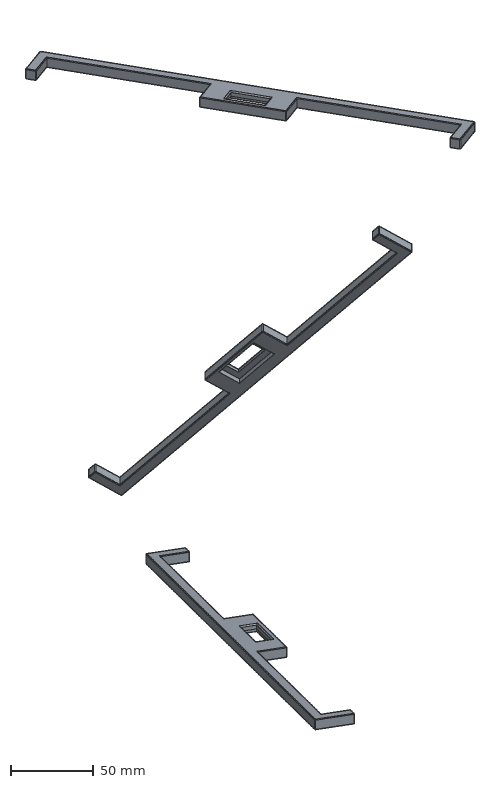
import cadquery as cq

length = 281.0
depth = 26.1
thickness = 7.0

bar_width = 7.0
plate_width = 56.2

window_width = 25.3
window_depth = 10.0
window_front_margin = 4.0
window_bevel = 0.8

lip_thickness = 3.5
recess_side_overhang = 4.2
recess_back_overhang = 4.2
recess_front_wall = 2.2

bevel = 0.5

front_y = -depth / 2
back_y = depth / 2


def front_block(center_x, width):
    """Full-depth block across the part, centred at the given X."""
    return cq.Workplane("XY").center(center_x, 0).box(width, depth, thickness)


def make_body():
    """E-shaped body: rail, two end arms and the middle plate."""
    body = (
        cq.Workplane("XY")
        .center(0, back_y - bar_width / 2)
        .box(length, bar_width, thickness)
    )
    arm_x = (length - bar_width) / 2
    for center_x, width in ((-arm_x, bar_width), (0, plate_width), (arm_x, bar_width)):
        body = body.union(front_block(center_x, width))
    return body.clean()


def bevel_edges(body):
    """Bevel the rims of the top and bottom faces and all convex upright corners."""
    front_corners = body.faces("<Y").edges("|Z")
    back_corners = body.faces(">Y").edges("|Z")
    rims = body.faces("|Z").edges()
    return rims.add(front_corners).add(back_corners).chamfer(bevel)


def cut_window(body):
    """Cut the window through the plate and slope its upper rim outwards."""
    window_y = front_y + window_front_margin + window_depth / 2
    window = (
        cq.Workplane("XY")
        .center(0, window_y)
        .box(window_width, window_depth, thickness)
    )
    upper_rim = (
        cq.Workplane("XY", origin=(0, window_y, thickness / 2 - window_bevel))
        .rect(window_width, window_depth)
        .workplane(offset=window_bevel)
        .rect(window_width + 2 * window_bevel, window_depth + 2 * window_bevel)
        .loft(ruled=True)
    )
    return body.cut(window).cut(upper_rim)


def cut_recess(body):
    """Cut the rectangular recess into the underside, around the window."""
    recess_front = front_y + recess_front_wall
    recess_back = front_y + window_front_margin + window_depth + recess_back_overhang
    recess_width = window_width + 2 * recess_side_overhang
    recess = (
        cq.Workplane("XY", origin=(0, (recess_front + recess_back) / 2, -thickness / 2))
        .rect(recess_width, recess_back - recess_front)
        .extrude(thickness - lip_thickness)
    )
    return body.cut(recess)


result = cut_recess(cut_window(bevel_edges(make_body())))